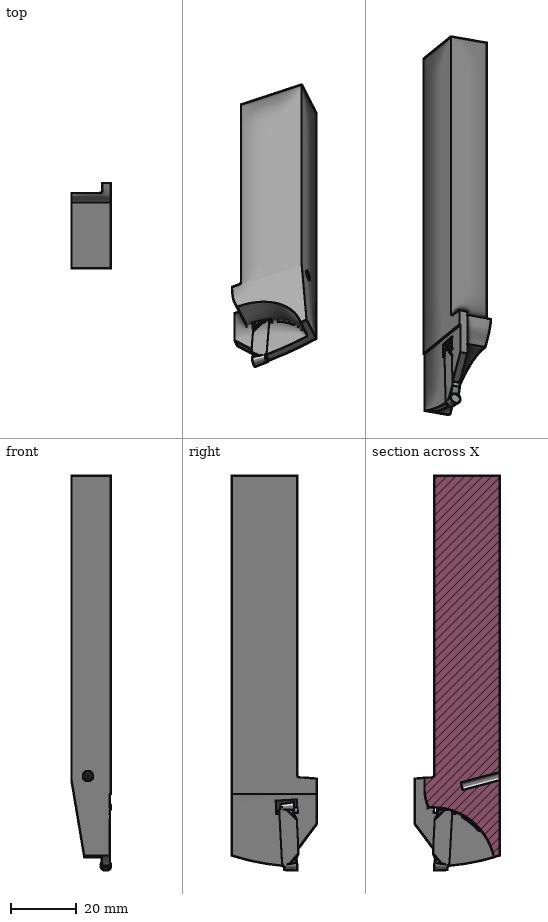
import cadquery as cq
import math

shank_width = 12.0
shank_depth = 20.0
top_z = 120.2

blade_inner_x = 9.35
blade_outer_x = 11.7
blade_thickness = blade_outer_x - blade_inner_x
relief_z = 23.3
taper_start_z = 27.5
taper_angle = 9.5
jaw_y = 26.0
jaw_top_z = 28.05
jaw_corner_z = 14.3
jaw_tip = (20.7, 7.2)
shoulder_z = 28.4
shoulder_end_y = 21.8
shoulder_fillet = 0.75
front_bottom_z = 4.65
bottom_mid = (8.8, 2.4)
bottom_end = (15.6, 1.45)

wall_foot = (1.9, 4.05)
wall_mid = (7.95, 14.5)
wall_peak = (19.0, 19.2)
wall_corner = (21.8, 19.3)
side_mid = (22.7, 22.0)
side_y = 23.0
side_arc_top_z = 24.8
wall_fillet = 0.6

hole_diameter = 3.0
hole_x = 5.05
hole_z = 28.8
hole_lean = 15.0
hole_depth = 12.0

insert_length = 20.9
insert_tilt = 3.1
insert_x = 10.5
insert_half_length = insert_length / 2
tip_y = 20.1
head_radius = 1.59
head_bottom_radius = 1.2
head_depth = 4.1
head_w = insert_half_length - head_radius
bar_end_half_length = 9.2
base_u = -4.6
base_half_length = 8.1
crown_u = 0.6
crown_half_length = 5.1
groove_u = -0.35
groove_half_length = 7.2
neck_width = 2.55
neck_foot = (-2.3, 8.3)

pocket_u = (-5.5, 0.95)
pocket_w = (7.2, 11.2)
pocket_inner_x = 8.7

tilt = math.radians(insert_tilt)
insert_mid_y = tip_y - insert_half_length * math.sin(tilt)
insert_mid_z = insert_half_length * math.cos(tilt)
insert_plane = cq.Plane(
    origin=(0, insert_mid_y, insert_mid_z),
    xDir=(0, math.cos(tilt), math.sin(tilt)),
    normal=(1, 0, 0),
)


def side_sketch(x):
    """Workplane at the given X whose local axes are Y and Z."""
    return cq.Workplane("YZ", origin=(x, 0, 0))


def make_insert_bar():
    """Bar between the two round cutting heads, as thick as the blade."""
    bar_end_u = -head_depth
    return (
        cq.Workplane(insert_plane)
        .workplane(offset=blade_inner_x)
        .moveTo(base_u, -base_half_length)
        .lineTo(bar_end_u, -bar_end_half_length)
        .lineTo(0, -head_w)
        .lineTo(groove_u, -head_w)
        .lineTo(groove_u, -groove_half_length)
        .lineTo(crown_u, -crown_half_length)
        .lineTo(crown_u, crown_half_length)
        .lineTo(groove_u, groove_half_length)
        .lineTo(groove_u, head_w)
        .lineTo(0, head_w)
        .lineTo(bar_end_u, bar_end_half_length)
        .lineTo(base_u, base_half_length)
        .close()
        .extrude(blade_thickness)
    )


def make_cutting_head(w):
    """Round head that narrows away from the rake face to give clearance."""
    centre = insert_plane.toWorldCoords((0, w, insert_x))
    across = insert_plane.xDir
    return cq.Workplane(
        cq.Solid.makeCone(head_radius, head_bottom_radius, head_depth, pnt=centre, dir=-across)
    )


def make_neck(end):
    """Flare behind the head at one end, sloping from the ridge down to the head."""
    return (
        cq.Workplane(insert_plane)
        .workplane(offset=insert_x - neck_width / 2)
        .moveTo(crown_u, end * crown_half_length)
        .lineTo(groove_u, end * groove_half_length)
        .lineTo(groove_u, end * neck_foot[1])
        .lineTo(neck_foot[0], end * neck_foot[1])
        .close()
        .extrude(neck_width)
    )


def make_insert():
    body = make_insert_bar()
    for end in (-1, 1):
        body = body.union(make_neck(end))
        body = body.union(make_cutting_head(end * head_w))
    return body


def make_shank():
    return cq.Workplane("XY", origin=(0, 0, taper_start_z)).box(
        shank_width, shank_depth, top_z - taper_start_z, centered=False
    )


def make_head_outline():
    """Full side outline of the head, as wide as the shank."""
    return (
        side_sketch(0)
        .moveTo(0, front_bottom_z)
        .threePointArc(bottom_mid, bottom_end)
        .lineTo(*jaw_tip)
        .lineTo(jaw_y, jaw_corner_z)
        .lineTo(jaw_y, jaw_top_z)
        .lineTo(shoulder_end_y, shoulder_z)
        .lineTo(0, shoulder_z)
        .close()
        .extrude(shank_width)
    )


def make_head():
    """Thick block with a curved wall, standing on the thin blade, trimmed to the head outline."""
    trim = 1.0
    block_top_z = shoulder_z + trim
    blade = cq.Workplane("XY", origin=(blade_inner_x, 0, 0)).box(
        shank_width - blade_inner_x, jaw_y + trim, block_top_z, centered=False
    )
    block = (
        side_sketch(0)
        .lineTo(wall_foot[0], 0)
        .lineTo(*wall_foot)
        .threePointArc(wall_mid, wall_peak)
        .lineTo(*wall_corner)
        .threePointArc(side_mid, (side_y, side_arc_top_z))
        .lineTo(side_y, block_top_z)
        .lineTo(0, block_top_z)
        .close()
        .extrude(blade_inner_x)
    )
    margin = 0.01
    wall_foot_edges = cq.selectors.BoxSelector(
        (blade_inner_x - margin, margin, margin),
        (blade_inner_x + margin, side_y + margin, block_top_z - margin),
    )
    return block.union(blade).edges(wall_foot_edges).fillet(wall_fillet).intersect(make_head_outline())


def make_shoulder_fillet():
    """Concave fillet between the shank and the shoulder."""
    r = shoulder_fillet
    bulge = r * (1 - math.sqrt(0.5))
    return (
        side_sketch(0)
        .moveTo(shank_depth, shoulder_z)
        .lineTo(shank_depth, shoulder_z + r)
        .threePointArc((shank_depth + bulge, shoulder_z + bulge), (shank_depth + r, shoulder_z))
        .close()
        .extrude(shank_width)
    )


def make_taper_cut():
    run = taper_start_z * math.tan(math.radians(taper_angle))
    return (
        cq.Workplane("XZ")
        .polyline([(0, taper_start_z), (0, 0), (run, 0)])
        .close()
        .extrude(-jaw_y)
    )


def make_outer_relief():
    return cq.Workplane("XY", origin=(blade_outer_x, 0, 0)).box(
        shank_width - blade_outer_x, jaw_y, relief_z, centered=False
    )


def make_pocket():
    """Clearance for the insert head that sits inside the holder."""
    return (
        cq.Workplane(insert_plane)
        .workplane(offset=pocket_inner_x)
        .moveTo(pocket_u[0], pocket_w[0])
        .lineTo(pocket_u[0], pocket_w[1])
        .lineTo(pocket_u[1], pocket_w[1])
        .lineTo(pocket_u[1], pocket_w[0])
        .close()
        .extrude(shank_width - pocket_inner_x)
    )


def make_screw_hole():
    """Blind hole that leans downward as it goes in."""
    lean = math.radians(hole_lean)
    axis = cq.Vector(0, math.cos(lean), -math.sin(lean))
    mouth = cq.Vector(hole_x, 0, hole_z)
    start = mouth - axis * hole_diameter
    length = hole_depth + hole_diameter
    return cq.Workplane(cq.Solid.makeCylinder(hole_diameter / 2, length, pnt=start, dir=axis))


def make_holder(insert_body):
    body = make_head().union(make_shank()).union(make_shoulder_fillet())
    for tool in (make_taper_cut(), make_outer_relief(), make_pocket(), make_screw_hole(), insert_body):
        body = body.cut(tool)
    return body


insert = make_insert()
holder = make_holder(insert)
result = cq.Compound.makeCompound([holder.val(), insert.val()])